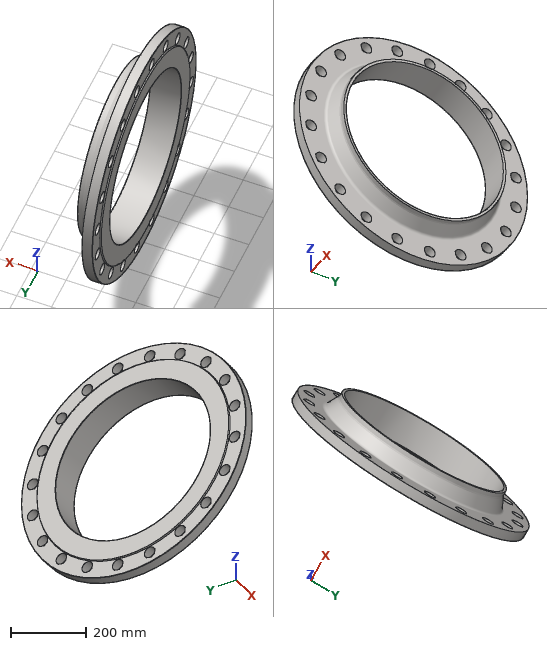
import cadquery as cq
import math

flange_diameter = 715.0
flange_thickness = 34.0
raised_face_diameter = 610.0
raised_face_height = 4.0
rim_chamfer = 1.0
raised_face_taper = 1.78

overall_length = 90.0
bore_diameter = 492.0
bore_chamfer = 1.0
weld_end_diameter = 508.0
weld_end_length = 16.0
neck_root_diameter = 548.0
neck_fillet_radius = 10.0

bolt_count = 20
bolt_hole_diameter = 33.0
bolt_circle_diameter = 650.0

full_turn = 360
match_tolerance = 0.001

flange_radius = flange_diameter / 2
bore_radius = bore_diameter / 2
raised_face_radius = raised_face_diameter / 2
neck_root_radius = neck_root_diameter / 2
weld_end_radius = weld_end_diameter / 2
bolt_circle_radius = bolt_circle_diameter / 2
cone_end_x = overall_length - weld_end_length


def make_flange_body():
    """Revolve the half section, drawn as (x, radius), about the X axis."""
    section = (
        cq.Workplane("XY")
        .moveTo(bore_chamfer, bore_radius)
        .lineTo(0, bore_radius + bore_chamfer)
        .lineTo(0, raised_face_radius)
        .lineTo(raised_face_height, raised_face_radius + raised_face_taper)
        .lineTo(raised_face_height, flange_radius - rim_chamfer)
        .lineTo(raised_face_height + rim_chamfer, flange_radius)
        .lineTo(flange_thickness, flange_radius)
        .lineTo(flange_thickness, neck_root_radius)
        .lineTo(cone_end_x, weld_end_radius)
        .lineTo(overall_length, weld_end_radius)
        .lineTo(overall_length, bore_radius)
        .close()
    )
    return section.revolve(full_turn, (0, 0, 0), (1, 0, 0))


def circular_edges(body, x, radius):
    """Select the full circular edge of the given radius at position x."""
    edges = body.edges("%CIRCLE").vals()
    return [
        edge
        for edge in edges
        if math.isclose(edge.Center().x, x, abs_tol=match_tolerance)
        and math.isclose(edge.radius(), radius, abs_tol=match_tolerance)
    ]


def round_neck_ends(body):
    """Blend the cone into the flange back and into the weld end."""
    root_edges = circular_edges(body, flange_thickness, neck_root_radius)
    weld_end_edges = circular_edges(body, cone_end_x, weld_end_radius)
    return body.newObject(root_edges + weld_end_edges).fillet(neck_fillet_radius)


def make_bolt_holes():
    """Cutters for the bolt circle, with gaps straddling the Y and Z axes."""
    pitch_angle = full_turn / bolt_count
    return (
        cq.Workplane("YZ")
        .polarArray(bolt_circle_radius, pitch_angle / 2, full_turn, bolt_count)
        .circle(bolt_hole_diameter / 2)
        .extrude(flange_thickness)
    )


result = round_neck_ends(make_flange_body()).cut(make_bolt_holes())